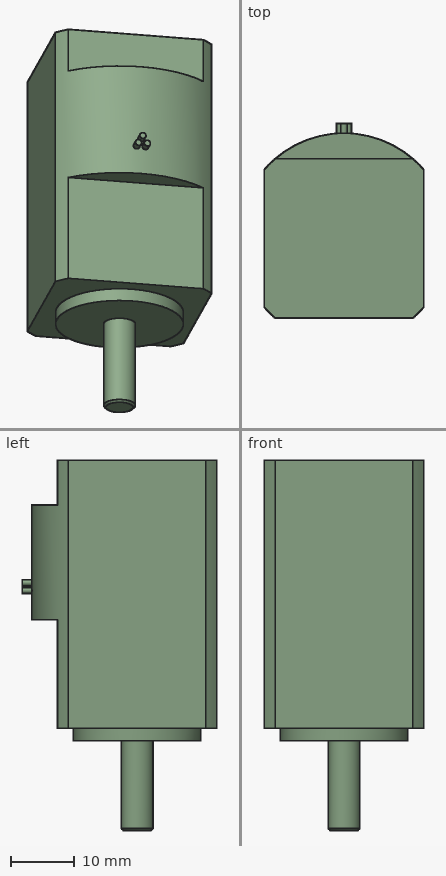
import cadquery as cq
import math

total_length = 58.0

housing_width = 25.0
turned_radius = 16.5
pilot_diameter = 20.0
pilot_height = 2.0
shaft_diameter = 5.0
shaft_length = 14.05
shaft_chamfer = 0.35
housing_length = total_length - pilot_height - shaft_length

cover_length = 18.0
cover_top_gap = 7.0
cover_bottom = housing_length - cover_top_gap - cover_length

wire_count = 3
wire_diameter = 1.0
wire_circle_radius = 0.8
wire_protrusion = 1.5
wire_depth_from_top = 20.0


def turned_cylinder(bottom, length):
    """Cylinder that rounds both the housing corners and the cover."""
    return cq.Workplane("XY").workplane(offset=bottom).circle(turned_radius).extrude(length)


def make_housing():
    square_bar = cq.Workplane("XY").rect(housing_width, housing_width).extrude(housing_length)
    return square_bar.intersect(turned_cylinder(0, housing_length))


def make_cover():
    """Cylinder segment standing on the +Y face of the housing."""
    beyond_face = (
        cq.Workplane("XY")
        .workplane(offset=cover_bottom)
        .center(0, turned_radius / 2)
        .rect(housing_width, turned_radius)
        .extrude(cover_length)
    )
    return turned_cylinder(cover_bottom, cover_length).intersect(beyond_face)


def make_pilot_and_shaft():
    pilot = cq.Workplane("XY").circle(pilot_diameter / 2).extrude(-pilot_height)
    shaft = (
        cq.Workplane("XY")
        .workplane(offset=-pilot_height)
        .circle(shaft_diameter / 2)
        .extrude(-shaft_length)
        .faces("<Z")
        .chamfer(shaft_chamfer)
    )
    return pilot.union(shaft)


def make_wire(angle):
    """Wire along +Y, rooted inside the housing, at an angle around the bundle centre."""
    x = wire_circle_radius * math.cos(angle)
    z = housing_length - wire_depth_from_top + wire_circle_radius * math.sin(angle)
    root = cq.Vector(x, housing_width / 4, z)
    length = turned_radius + wire_protrusion - root.y
    return cq.Workplane(cq.Solid.makeCylinder(wire_diameter / 2, length, root, cq.Vector(0, 1, 0)))


result = make_housing().union(make_cover()).union(make_pilot_and_shaft())

for index in range(wire_count):
    result = result.union(make_wire(math.pi / 2 + index * math.tau / wire_count))